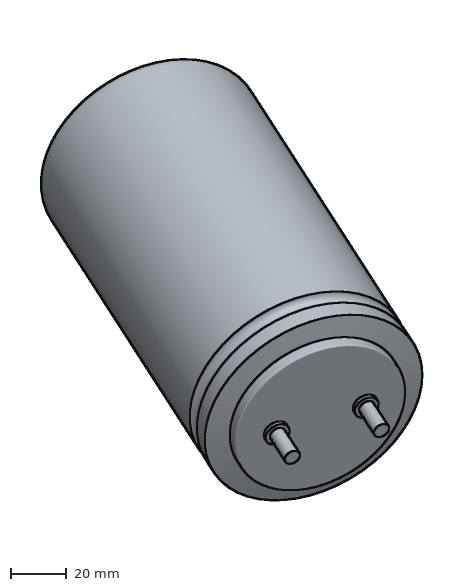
import cadquery as cq

STUD_LENGTH = 12.5
OVERALL_LENGTH = 184.0
GROOVE_START = 137.2
RIM_END = 150.6
DISC_BASE = 151.9
DISC_FACE = 156.7
COLLAR_HEIGHT = 1.6
PIN_TIP = OVERALL_LENGTH - STUD_LENGTH

CAN_RADIUS = 85.5 / 2
CAN_EDGE_RADIUS = 5.5
GROOVE_RADIUS = 3.2
DISC_RADIUS = 33.5
DISC_EDGE_RADIUS = 0.6
STUD_RADIUS = 6.0
COLLAR_RADIUS = 4.7
PIN_RADIUS = 3.0

PIN_SPACING = 35.0


def cylinder(start, end, radius, y=0.0):
    """Cylinder parallel to X between two axial stations."""
    return cq.Workplane("YZ", origin=(start, y, 0)).circle(radius).extrude(end - start)


def make_can():
    """Revolved can: rounded closed end, half-round crimp groove, rim and sloped lid."""
    groove_middle = GROOVE_START + GROOVE_RADIUS
    groove_end = GROOVE_START + 2 * GROOVE_RADIUS
    profile = (
        cq.Workplane("XY")
        .moveTo(0, 0)
        .lineTo(0, CAN_RADIUS - CAN_EDGE_RADIUS)
        .radiusArc((CAN_EDGE_RADIUS, CAN_RADIUS), CAN_EDGE_RADIUS)
        .lineTo(GROOVE_START, CAN_RADIUS)
        .threePointArc((groove_middle, CAN_RADIUS - GROOVE_RADIUS), (groove_end, CAN_RADIUS))
        .lineTo(RIM_END, CAN_RADIUS)
        .lineTo(DISC_BASE, DISC_RADIUS)
        .lineTo(DISC_BASE, 0)
        .close()
    )
    return profile.revolve(360, (0, 0, 0), (1, 0, 0))


def make_disc():
    """Raised terminal disc with a rounded outer edge."""
    return cylinder(DISC_BASE, DISC_FACE, DISC_RADIUS).faces(">X").fillet(DISC_EDGE_RADIUS)


def make_terminal(y):
    """Terminal pin standing on a short round collar."""
    collar = cylinder(DISC_FACE, DISC_FACE + COLLAR_HEIGHT, COLLAR_RADIUS, y)
    pin = cylinder(DISC_FACE, PIN_TIP, PIN_RADIUS, y)
    return collar.union(pin)


stud = cylinder(-STUD_LENGTH, 0, STUD_RADIUS)
result = make_can().union(make_disc()).union(stud)
for side in (-1, 1):
    result = result.union(make_terminal(side * PIN_SPACING / 2))